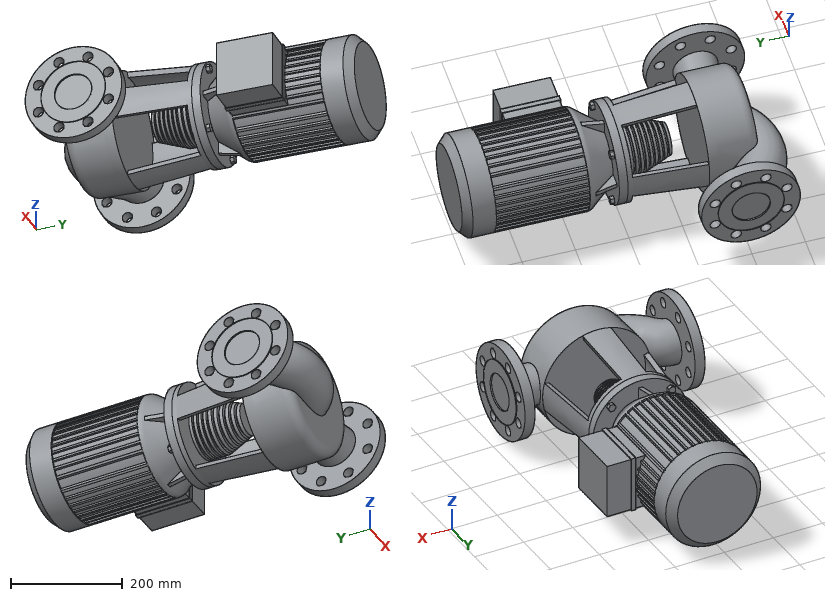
import cadquery as cq
import math


CASING_BOTTOM = -46.5
CASING_BEND = 31.0
CASING_TOP = 51.0
LANTERN_PLATE_BOTTOM = 189.5
LANTERN_TOP = 199.0
MOTOR_FLANGE_TOP = 215.5
BARREL_BOTTOM = 270.0
BARREL_TOP = 445.0

CASING_RADIUS = 110.0
VOLUTE_END_RADIUS = 108.5
VOLUTE_END_SHIFT = CASING_RADIUS - VOLUTE_END_RADIUS
VOLUTE_FILLET = 17.5
INLET_PIPE_RADIUS = 43.0
INLET_PIPE_SOCKET = 4.0
FIRST_BEND_RADIUS = 44.5
SECOND_BEND_RADIUS = 90.0
INLET_DROP = 56.0
RISE_ANGLE = 60.0
OUTLET_PIPE_RADIUS = 42.0
OUTLET_ROOT_RADIUS = 37.5
OUTLET_ROOT_X = 84.5

FACE_TO_FACE = 370.0
FLANGE_MIDDLE_X = -15.0
FLANGE_RADIUS = 92.5
FLANGE_THICKNESS = 20.5
RAISED_FACE_RADIUS = 61.5
RAISED_FACE_HEIGHT = 2.0
BORE_RADIUS = 35.5
BORE_DEPTH = 3.0
FLANGE_HOLES = 8
FLANGE_HOLE_RADIUS = 9.5
FLANGE_HOLE_CIRCLE = 72.5
INLET_FACE_X = FLANGE_MIDDLE_X - FACE_TO_FACE / 2
OUTLET_FACE_X = FLANGE_MIDDLE_X + FACE_TO_FACE / 2
FLANGE_DEPTH = FLANGE_THICKNESS + RAISED_FACE_HEIGHT

OVERALL_LENGTH = 603.5
COVER_TOP = OVERALL_LENGTH - INLET_DROP - INLET_PIPE_RADIUS

MOTOR_RADIUS = 96.5
LEG_WALL = 10.0
LEG_COUNT = 4
LEG_ANGLE = 30.4

COUPLING_RADIUS = 51.0
RIB_PITCH = 9.5
RIB_WIDTH = 5.75
RIB_COUNT = 10
STRAIGHT_RIBS = 4
GROOVE_DEPTH = 5.5
CONE_SLOPE = 0.38

BARREL_ROOT_RADIUS = 93.0
FIN_PITCH = 14.5
FIN_THICKNESS = 3.5
FINS_EACH_SIDE = 4
BELL_SMALL_RADIUS = 58.5
BELL_SHOULDER = 264.5
BELL_FILLET = 15.0
GUSSET_THICKNESS = 8.5
GUSSET_FOOT_RADIUS = 82.0
GUSSET_TOP_RADIUS = 92.0
GUSSET_TOP = 259.5
COVER_CHAMFER = 15.5

BOX_MIDDLE_Y = 322.5
BOX_SIZE = 107.5
BOX_PLATE_SIZE = 111.0
BOX_PLATE_START = MOTOR_RADIUS
BOX_LID_START = 106.0
BOX_END = 154.5

BOLT_OFFSET = 61.0
BOLT_HEAD_WIDTH = 15.5
BOLT_HEAD_HEIGHT = 7.0
BOLT_COUNT = 4


def shaft_disc(radius, start, end):
    """Cylinder on the shaft axis from Y = start to Y = end."""
    return cq.Workplane("XZ", origin=(0, start, 0)).circle(radius).extrude(start - end)


def shaft_revolve(points, angle=360):
    """Closed (radius, Y) outline turned about the shaft axis."""
    return cq.Workplane("XY").polyline(points).close().revolve(angle, (0, 0, 0), (0, 1, 0))


def about_shaft(shape, angle):
    return shape.rotate((0, 0, 0), (0, 1, 0), angle)


def pipe_flange(face_x, inward):
    """Drilled flange with a raised face at face_x; inward (+1 or -1) points to the pipe along X."""
    disc_x = face_x + inward * RAISED_FACE_HEIGHT
    hole_step = 360 / FLANGE_HOLES
    raised = cq.Workplane("YZ", origin=(face_x, 0, 0)).circle(RAISED_FACE_RADIUS)
    disc = cq.Workplane("YZ", origin=(disc_x, 0, 0)).circle(FLANGE_RADIUS)
    holes = (
        cq.Workplane("YZ", origin=(disc_x, 0, 0))
        .polarArray(FLANGE_HOLE_CIRCLE, hole_step / 2, 360, FLANGE_HOLES)
        .circle(FLANGE_HOLE_RADIUS)
        .extrude(inward * FLANGE_THICKNESS)
    )
    bore = cq.Workplane("YZ", origin=(face_x, 0, 0)).circle(BORE_RADIUS).extrude(inward * BORE_DEPTH)
    flange = disc.extrude(inward * FLANGE_THICKNESS).union(raised.extrude(inward * RAISED_FACE_HEIGHT))
    return flange.cut(holes).cut(bore)


def volute():
    """Round rim and eccentric tapered bowl with a rounded bottom edge."""
    rim = shaft_disc(CASING_RADIUS, CASING_BEND, CASING_TOP)
    bowl = (
        cq.Workplane("XZ", origin=(0, CASING_BEND, 0))
        .circle(CASING_RADIUS)
        .workplane(offset=CASING_BEND - CASING_BOTTOM)
        .center(VOLUTE_END_SHIFT, 0)
        .circle(VOLUTE_END_RADIUS)
        .loft(ruled=True)
        .faces("<Y")
        .edges()
        .fillet(VOLUTE_FILLET)
    )
    return rim.union(bowl)


def inlet_pipe():
    """S-bend that drops from the inlet flange and rises into the bottom of the casing."""
    bend = math.acos(1 - INLET_DROP / (FIRST_BEND_RADIUS + SECOND_BEND_RADIUS))
    rise = math.radians(RISE_ANGLE)
    start_x = INLET_FACE_X + FLANGE_DEPTH - INLET_PIPE_SOCKET
    middle_x = start_x + FIRST_BEND_RADIUS * math.sin(bend)
    middle_y = -FIRST_BEND_RADIUS * (1 - math.cos(bend))
    centre_x = middle_x + SECOND_BEND_RADIUS * math.sin(bend)
    centre_y = middle_y + SECOND_BEND_RADIUS * math.cos(bend)
    end_x = centre_x + SECOND_BEND_RADIUS * math.sin(rise)
    end_y = centre_y - SECOND_BEND_RADIUS * math.cos(rise)
    path = (
        cq.Workplane("XY")
        .moveTo(start_x, 0)
        .threePointArc(
            (
                start_x + FIRST_BEND_RADIUS * math.sin(bend / 2),
                -FIRST_BEND_RADIUS * (1 - math.cos(bend / 2)),
            ),
            (middle_x, middle_y),
        )
        .threePointArc((centre_x, centre_y - SECOND_BEND_RADIUS), (end_x, end_y))
    )
    return cq.Workplane("YZ", origin=(start_x, 0, 0)).circle(INLET_PIPE_RADIUS).sweep(path)


def outlet_pipe():
    """Pipe that narrows from the outlet flange into the casing, its +Y edge staying level."""
    start_x = OUTLET_FACE_X - FLANGE_DEPTH
    return (
        cq.Workplane("YZ", origin=(start_x, 0, 0))
        .circle(OUTLET_PIPE_RADIUS)
        .workplane(offset=OUTLET_ROOT_X - start_x)
        .center(OUTLET_PIPE_RADIUS - OUTLET_ROOT_RADIUS, 0)
        .circle(OUTLET_ROOT_RADIUS)
        .loft(ruled=True)
    )


def make_casing():
    casing = volute().union(inlet_pipe()).union(outlet_pipe())
    return casing.union(pipe_flange(INLET_FACE_X, 1)).union(pipe_flange(OUTLET_FACE_X, -1))


def make_lantern():
    """Round plate under the motor, on four legs that spread to the casing rim."""
    lantern = shaft_disc(MOTOR_RADIUS, LANTERN_PLATE_BOTTOM, LANTERN_TOP)
    leg = shaft_revolve(
        [
            (MOTOR_RADIUS - LEG_WALL, LANTERN_PLATE_BOTTOM),
            (MOTOR_RADIUS, LANTERN_PLATE_BOTTOM),
            (CASING_RADIUS, CASING_TOP),
            (CASING_RADIUS - LEG_WALL, CASING_TOP),
        ],
        LEG_ANGLE,
    )
    for index in range(LEG_COUNT):
        lantern = lantern.union(about_shaft(leg, index * 360 / LEG_COUNT - LEG_ANGLE / 2))
    return lantern


def coupling_radius(y):
    """Outer radius of the coupling: straight at the top, then a cone."""
    cone_start = LANTERN_PLATE_BOTTOM - STRAIGHT_RIBS * RIB_PITCH
    return COUPLING_RADIUS - CONE_SLOPE * max(0, cone_start - y)


def make_coupling():
    """Ribbed coupling hanging from the lantern plate."""
    outline = [(0, LANTERN_PLATE_BOTTOM)]
    for index in range(RIB_COUNT):
        rib_top = LANTERN_PLATE_BOTTOM - index * RIB_PITCH
        rib_bottom = rib_top - RIB_WIDTH
        outline += [(coupling_radius(rib_top), rib_top), (coupling_radius(rib_bottom), rib_bottom)]
        if index < RIB_COUNT - 1:
            next_top = rib_top - RIB_PITCH
            root = coupling_radius(next_top) - GROOVE_DEPTH
            outline += [(root, rib_bottom), (root, next_top)]
    outline.append((0, outline[-1][1]))
    return shaft_revolve(outline)


def finned_barrel():
    """Barrel with parallel fins standing up on its four sides."""
    length = BARREL_TOP - BARREL_BOTTOM
    middle_y = (BARREL_TOP + BARREL_BOTTOM) / 2
    envelope = shaft_disc(MOTOR_RADIUS, BARREL_BOTTOM, BARREL_TOP)
    barrel = shaft_disc(BARREL_ROOT_RADIUS, BARREL_BOTTOM, BARREL_TOP)
    for index in range(-FINS_EACH_SIDE, FINS_EACH_SIDE + 1):
        offset = index * FIN_PITCH
        plate = cq.Workplane("XY").box(2 * MOTOR_RADIUS, length, FIN_THICKNESS)
        flat_fin = plate.translate((0, middle_y, offset)).intersect(envelope)
        barrel = barrel.union(flat_fin).union(about_shaft(flat_fin, 90))
    return barrel


def motor_bell():
    """Flange and conical end bell of the motor, stiffened by four gussets."""
    bell = shaft_revolve(
        [
            (0, MOTOR_FLANGE_TOP),
            (BELL_SMALL_RADIUS, MOTOR_FLANGE_TOP),
            (MOTOR_RADIUS, BELL_SHOULDER),
            (MOTOR_RADIUS, BARREL_BOTTOM),
            (0, BARREL_BOTTOM),
        ]
    )
    shoulder = cq.selectors.NearestToPointSelector((0, BELL_SHOULDER, 0))
    bell = bell.edges(shoulder).fillet(BELL_FILLET)
    gussets = (
        cq.Workplane("XY")
        .polyline(
            [
                (-GUSSET_FOOT_RADIUS, MOTOR_FLANGE_TOP),
                (GUSSET_FOOT_RADIUS, MOTOR_FLANGE_TOP),
                (GUSSET_TOP_RADIUS, GUSSET_TOP),
                (-GUSSET_TOP_RADIUS, GUSSET_TOP),
            ]
        )
        .close()
        .extrude(GUSSET_THICKNESS / 2, both=True)
    )
    flange = shaft_disc(MOTOR_RADIUS, LANTERN_TOP, MOTOR_FLANGE_TOP)
    return flange.union(bell).union(gussets).union(about_shaft(gussets, 90))


def box_block(size, start_x, end_x):
    """Square block of the terminal box from X = start_x to X = end_x."""
    return (
        cq.Workplane("YZ", origin=(start_x, BOX_MIDDLE_Y, 0))
        .rect(size, size)
        .extrude(end_x - start_x)
    )


def make_motor():
    neck = box_block(BOX_SIZE, 0, BOX_PLATE_START)
    return finned_barrel().union(neck).union(motor_bell())


def make_fan_cover():
    return shaft_disc(MOTOR_RADIUS, BARREL_TOP, COVER_TOP).faces(">Y").edges().chamfer(COVER_CHAMFER)


def make_terminal_box():
    plate = box_block(BOX_PLATE_SIZE, BOX_PLATE_START, BOX_LID_START)
    lid = box_block(BOX_SIZE, BOX_LID_START, BOX_END)
    return plate.union(lid)


def make_bolt(angle):
    """Hexagonal bolt head resting on the motor flange, turned about the shaft by angle."""
    head = (
        cq.Workplane("XZ", origin=(BOLT_OFFSET, MOTOR_FLANGE_TOP, BOLT_OFFSET))
        .polygon(6, BOLT_HEAD_WIDTH)
        .extrude(-BOLT_HEAD_HEIGHT)
    )
    return about_shaft(head, angle)


casing = make_casing()
lantern = make_lantern()
coupling = make_coupling()
motor = make_motor()
fan_cover = make_fan_cover()
terminal_box = make_terminal_box()
bolts = [make_bolt(index * 360 / BOLT_COUNT) for index in range(BOLT_COUNT)]

result = cq.Compound.makeCompound(
    [
        casing.val(),
        lantern.val(),
        coupling.val(),
        motor.val(),
        fan_cover.val(),
        terminal_box.val(),
        *[bolt.val() for bolt in bolts],
    ]
)